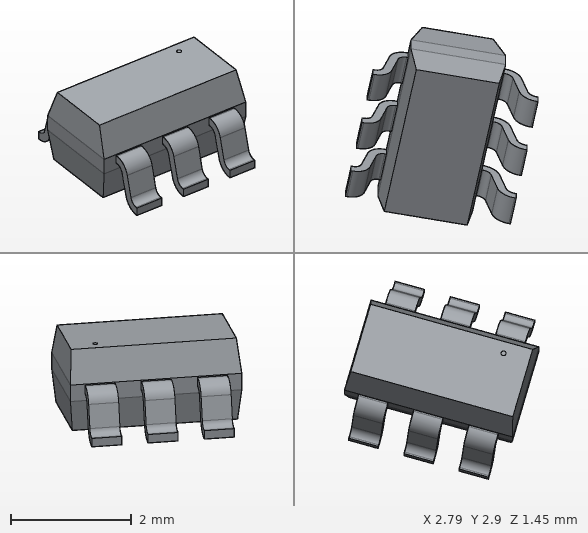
import cadquery as cq
import math


overall_width = 2.79
overall_height = 1.45

belt_width = 1.6
body_length = 2.9
top_width = 1.195
bottom_width = 1.4
end_length = 2.795
standoff = 0.052
belt_height = 0.29
taper_height = (overall_height - standoff - belt_height) / 2
belt_bottom = standoff + taper_height
belt_top = belt_bottom + belt_height

lead_count = 3
lead_pitch = 0.95
lead_width = 0.508
lead_thickness = 0.15
lead_top = 0.875
shoulder_flat = 0.025
inner_radius = lead_thickness
outer_radius = inner_radius + lead_thickness
leg_slope = 15.0

marker_diameter = 0.08
marker_depth = 0.03
marker_inset = 0.197
marker_x = -(top_width / 2 - marker_inset)
marker_y = lead_pitch * (lead_count - 1) / 2


def make_tapered_half(belt_z, end_z, end_width):
    """Frustum from the belt outline to a smaller end face."""
    return (
        cq.Workplane("XY", origin=(0, 0, belt_z))
        .rect(belt_width, body_length)
        .workplane(offset=end_z - belt_z)
        .rect(end_width, end_length)
        .loft(ruled=True)
    )


def make_marker():
    """Round disc flush with the top face of the housing."""
    return (
        cq.Workplane("XY", origin=(marker_x, marker_y, overall_height - marker_depth))
        .circle(marker_diameter / 2)
        .extrude(marker_depth)
    )


def make_housing():
    """Belt and both tapered halves, with a recess for the marker."""
    belt = (
        cq.Workplane("XY", origin=(0, 0, belt_bottom))
        .rect(belt_width, body_length)
        .extrude(belt_height)
    )
    upper_half = make_tapered_half(belt_top, overall_height, top_width)
    lower_half = make_tapered_half(belt_bottom, standoff, bottom_width)
    return belt.union(upper_half).union(lower_half).cut(make_marker())


def arc_point(center, radius, angle):
    """Point of a circle in the XZ plane, with the angle in degrees from +X."""
    return (
        center[0] + radius * math.cos(math.radians(angle)),
        center[1] + radius * math.sin(math.radians(angle)),
    )


def make_lead(y_center):
    """Gull-wing lead on the +X side, bent down at the shoulder and out at the foot."""
    slope = math.radians(leg_slope)
    wall_x = belt_width / 2
    foot_x = overall_width / 2
    middle_radius = (inner_radius + outer_radius) / 2

    shoulder_center = (wall_x + shoulder_flat, lead_top - outer_radius)
    center_drop = shoulder_center[1] - outer_radius
    leg_length = (center_drop + 2 * middle_radius * math.sin(slope)) / math.cos(slope)
    center_run = 2 * middle_radius * math.cos(slope) + leg_length * math.sin(slope)
    foot_center = (shoulder_center[0] + center_run, outer_radius)

    bend_middle = (90 - leg_slope) / 2
    shoulder_angles = (90, 90 - bend_middle, leg_slope)
    foot_angles = (180 + leg_slope, 270 - bend_middle, 270)

    shoulder_outer = [arc_point(shoulder_center, outer_radius, a) for a in shoulder_angles]
    shoulder_inner = [arc_point(shoulder_center, inner_radius, a) for a in shoulder_angles]
    foot_outer = [arc_point(foot_center, outer_radius, a) for a in foot_angles]
    foot_inner = [arc_point(foot_center, inner_radius, a) for a in foot_angles]

    return (
        cq.Workplane("XZ", origin=(0, y_center + lead_width / 2, 0))
        .moveTo(wall_x, lead_top)
        .lineTo(*shoulder_outer[0])
        .threePointArc(*shoulder_outer[1:])
        .lineTo(*foot_inner[0])
        .threePointArc(*foot_inner[1:])
        .lineTo(foot_x, lead_thickness)
        .lineTo(foot_x, 0)
        .lineTo(*foot_outer[2])
        .threePointArc(foot_outer[1], foot_outer[0])
        .lineTo(*shoulder_inner[2])
        .threePointArc(shoulder_inner[1], shoulder_inner[0])
        .lineTo(wall_x, lead_top - lead_thickness)
        .close()
        .extrude(lead_width)
    )


housing = make_housing()
marker = make_marker()

leads = []
for index in range(lead_count):
    lead = make_lead((index - (lead_count - 1) / 2) * lead_pitch)
    leads.append(lead.val())
    leads.append(lead.mirror("YZ").val())

result = cq.Compound.makeCompound([housing.val(), marker.val(), *leads])